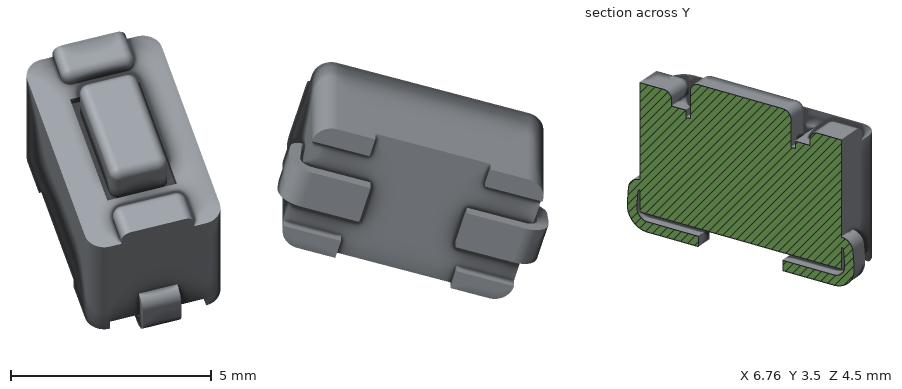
import cadquery as cq
import math

overall_length = 6.76
overall_height = 4.5

body_length = 5.995
body_width = 3.5
body_bottom = 0.2
body_top = 3.7
body_corner_radius = 0.5

channel_roof = 0.5
cross_channel_width = 3.0
long_channel_width = 2.5

button_length = 3.0
button_width = 1.5
well_length = 3.245
well_width = 1.81
well_depth = 0.2

block_length = 0.95
block_width = 1.9
block_height = 0.4

edge_radius = 0.25

lead_width = 1.0
lead_thickness = 0.3
lead_inner_end = 1.25
lead_root = 2.705
lower_bend_radius = 0.61
upper_bend_radius = 0.35
lead_straight = 0.425
lead_lean = math.radians(4.5)


def box(length, width, bottom, top, center_x=0.0):
    """Box centred on Y = 0 between two heights."""
    return (
        cq.Workplane("XY", origin=(center_x, 0, bottom))
        .rect(length, width)
        .extrude(top - bottom)
    )


def mirrored_pair(shape):
    """The shape together with its mirror image across the YZ plane."""
    return shape.union(shape.mirror("YZ"))


def make_housing():
    housing = box(body_length, body_width, body_bottom, body_top)
    housing = housing.edges("|Z").fillet(body_corner_radius)
    housing = housing.cut(box(cross_channel_width, body_width, body_bottom, channel_roof))
    housing = housing.cut(box(body_length, long_channel_width, body_bottom, channel_roof))
    return housing.cut(box(well_length, well_width, body_top - well_depth, body_top))


def make_button():
    button = box(button_length, button_width, body_top - well_depth, overall_height)
    return button.edges("|Z or >Z").fillet(edge_radius)


def make_end_block():
    """Block at the +X end, rounded everywhere except on the outer end face."""
    center_x = (body_length - block_length) / 2
    block = box(block_length, block_width, body_top, body_top + block_height, center_x)
    rounded = block.edges("(|Z and <X) or (>Z and (not >X))")
    return rounded.fillet(edge_radius)


def on_circle(center, radius, angle):
    return (center[0] + radius * math.cos(angle), center[1] + radius * math.sin(angle))


def make_lead():
    """Lead at the +X end: from the end wall, down a leaning leg, and inward along the sole."""
    lower_center = (overall_length / 2 - lower_bend_radius, lower_bend_radius)
    leg_start = on_circle(lower_center, lower_bend_radius, lead_lean)
    leg_end = on_circle(leg_start, lead_straight, lead_lean + math.pi / 2)
    upper_center = on_circle(leg_end, upper_bend_radius, lead_lean + math.pi)

    lower_inner_radius = lower_bend_radius - lead_thickness
    upper_inner_radius = upper_bend_radius - lead_thickness
    lower_middle = (lead_lean - math.pi / 2) / 2
    upper_middle = (lead_lean + math.pi / 2) / 2
    down = -math.pi / 2
    up = math.pi / 2
    lead_top = upper_center[1] + upper_bend_radius

    profile = (
        cq.Workplane("XZ", origin=(0, lead_width / 2, 0))
        .moveTo(lead_inner_end, 0)
        .lineTo(lower_center[0], 0)
        .threePointArc(on_circle(lower_center, lower_bend_radius, lower_middle), leg_start)
        .lineTo(*leg_end)
        .threePointArc(
            on_circle(upper_center, upper_bend_radius, upper_middle),
            on_circle(upper_center, upper_bend_radius, up),
        )
        .lineTo(lead_root, lead_top)
        .lineTo(lead_root, lead_top - lead_thickness)
        .lineTo(*on_circle(upper_center, upper_inner_radius, up))
        .threePointArc(
            on_circle(upper_center, upper_inner_radius, upper_middle),
            on_circle(upper_center, upper_inner_radius, lead_lean),
        )
        .lineTo(*on_circle(lower_center, lower_inner_radius, lead_lean))
        .threePointArc(
            on_circle(lower_center, lower_inner_radius, lower_middle),
            on_circle(lower_center, lower_inner_radius, down),
        )
        .lineTo(lead_inner_end, lead_thickness)
        .close()
    )
    return profile.extrude(lead_width)


result = (
    make_housing()
    .union(make_button())
    .union(mirrored_pair(make_end_block()))
    .union(mirrored_pair(make_lead()))
)